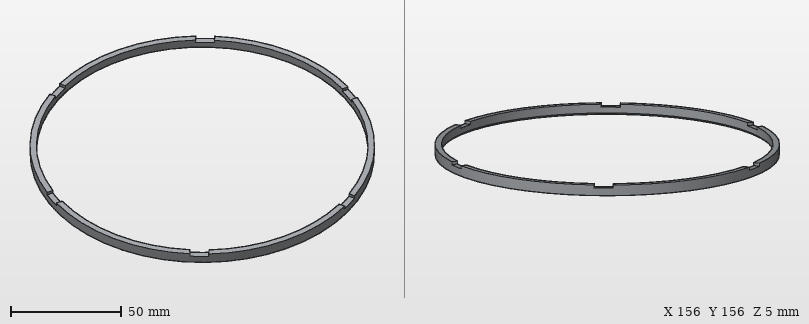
import cadquery as cq

outer_diameter = 156.0
inner_diameter = 150.0
height = 5.0
bore_chamfer = 1.0

notch_count = 6
notch_width = 8.6
notch_depth = 1.4
first_notch_angle = 90.0

wall = (outer_diameter - inner_diameter) / 2
mean_radius = (outer_diameter + inner_diameter) / 4


def ring():
    """Ring standing on the XY plane, with a chamfered lower bore rim."""
    plain_ring = (
        cq.Workplane("XY")
        .circle(outer_diameter / 2)
        .circle(inner_diameter / 2)
        .extrude(height)
    )
    bore_rim = plain_ring.faces("<Z").edges(cq.selectors.RadiusNthSelector(0))
    return bore_rim.chamfer(bore_chamfer)


def notch_cutter(angle):
    """Parallel-sided block that cuts through the wall at the top rim."""
    return (
        cq.Workplane("XY")
        .box(3 * wall, notch_width, notch_depth, centered=(True, True, False))
        .translate((mean_radius, 0, height - notch_depth))
        .rotate((0, 0, 0), (0, 0, 1), angle)
    )


result = ring()
for index in range(notch_count):
    result = result.cut(notch_cutter(first_notch_angle + index * 360 / notch_count))